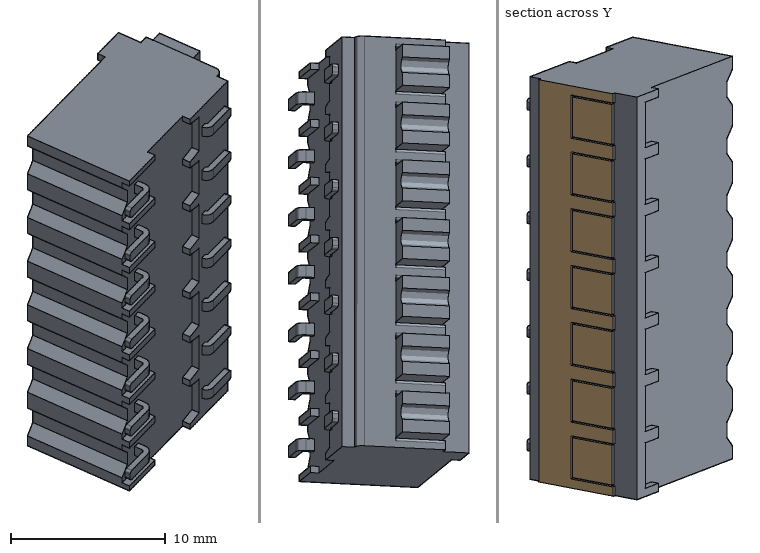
import cadquery as cq
import math


POLES = 7
PITCH = 3.82
HEIGHT = 27.05
POLE_Z = [(i - (POLES - 1) / 2) * PITCH for i in range(POLES)]

BODY_WIDTH = 7.33
BODY_DEPTH = 11.55

GROOVE_DEPTH = 0.62
GROOVE_FLOOR = 1.03
GROOVE_MOUTH = 2.44

FLANGE_THICKNESS = 0.57
SPINE_DEPTH = 0.97
TOOTH_END_Y = 9.12
TOOTH_GAP = 3.05

RIB_THICKNESS = 0.57
LOWER_RIB_DEPTH = 3.0
UPPER_RIB_START_Y = 7.12
WINDOW_MOUTH = 3.3
POCKET_FLOOR = 2.92
POCKET_DEPTH = 1.08

STEP_LEFT_X = 1.16
STEP_RIGHT_X = 7.05
STEP_HEIGHT = 0.62
STEP_CORNER_RADIUS = 0.5

BLOCK_LEFT_X = 1.25
BLOCK_WIDTH = 3.15
BLOCK_HEIGHT = 2.7
BLOCK_REACH = 1.45
BLOCK_CLEARANCE = 0.08
BLOCK_NOTCH_WIDTH = 1.03
BLOCK_NOTCH_DEPTH = 0.43
POCKET_LIP_RADIUS = 0.22

PIN_THICKNESS = 0.4
PIN_WIDTH = 0.78
PIN_GAP = 0.14
PIN_LEG = 2.62
PIN_ROOT = 0.55
PIN_TIP_RADIUS = 0.22
LOWER_PIN_Y = 1.9
UPPER_PIN_Y = 8.5

DIAGONAL = math.sqrt(0.5)

STEP_TOP_Y = BODY_DEPTH + STEP_HEIGHT
RIB_FACE_X = BODY_WIDTH + RIB_THICKNESS


def box(x_start, x_end, y_start, y_end, z_mid, z_size):
    """Box between two X and two Y positions, centred in Z on z_mid."""
    return (
        cq.Workplane("XY", origin=(0, 0, z_mid - z_size / 2))
        .moveTo(x_start, y_start)
        .lineTo(x_end, y_start)
        .lineTo(x_end, y_end)
        .lineTo(x_start, y_end)
        .close()
        .extrude(z_size)
    )


def make_body():
    """Main block with one groove per pole across its -Y face."""
    body = box(0, BODY_WIDTH, 0, BODY_DEPTH, 0, HEIGHT)
    for z in POLE_Z:
        groove = (
            cq.Workplane("YZ")
            .moveTo(0, z - GROOVE_MOUTH / 2)
            .lineTo(GROOVE_DEPTH, z - GROOVE_FLOOR / 2)
            .lineTo(GROOVE_DEPTH, z + GROOVE_FLOOR / 2)
            .lineTo(0, z + GROOVE_MOUTH / 2)
            .close()
            .extrude(BODY_WIDTH)
        )
        body = body.cut(groove)
    return body


def make_flange():
    """Comb on the -X face: a full-height spine with teeth between the poles."""
    flange = box(-FLANGE_THICKNESS, 0, TOOTH_END_Y, BODY_DEPTH, 0, HEIGHT)
    for z in POLE_Z:
        gap = box(-FLANGE_THICKNESS, 0, TOOTH_END_Y, BODY_DEPTH - SPINE_DEPTH, z, TOOTH_GAP)
        flange = flange.cut(gap)
    return flange


def make_ribs():
    """Two ribs on the +X face: windows cross the lower one, tapered pockets enter the upper one."""
    ribs = box(BODY_WIDTH, RIB_FACE_X, 0, LOWER_RIB_DEPTH, 0, HEIGHT)
    ribs = ribs.union(box(BODY_WIDTH, RIB_FACE_X, UPPER_RIB_START_Y, BODY_DEPTH, 0, HEIGHT))
    floor_y = UPPER_RIB_START_Y + POCKET_DEPTH
    for z in POLE_Z:
        window = box(BODY_WIDTH, RIB_FACE_X, 0, LOWER_RIB_DEPTH, z, WINDOW_MOUTH)
        pocket = (
            cq.Workplane("YZ", origin=(BODY_WIDTH, 0, 0))
            .moveTo(UPPER_RIB_START_Y, z - WINDOW_MOUTH / 2)
            .lineTo(floor_y, z - POCKET_FLOOR / 2)
            .lineTo(floor_y, z + POCKET_FLOOR / 2)
            .lineTo(UPPER_RIB_START_Y, z + WINDOW_MOUTH / 2)
            .close()
            .extrude(RIB_THICKNESS)
        )
        ribs = ribs.cut(window).cut(pocket)
    return ribs


def make_step():
    """Raised step on the +Y face with a rounded corner and one round-lipped pocket per pole."""
    step = box(STEP_LEFT_X, STEP_RIGHT_X, BODY_DEPTH, STEP_TOP_Y, 0, HEIGHT)
    step = step.edges("|Z and >X and >Y").fillet(STEP_CORNER_RADIUS)
    half = BLOCK_HEIGHT / 2 + BLOCK_CLEARANCE
    lip_half = half + POCKET_LIP_RADIUS
    lip_y = STEP_TOP_Y - POCKET_LIP_RADIUS
    lip_mid_y = lip_y + POCKET_LIP_RADIUS * DIAGONAL
    lip_mid_half = lip_half - POCKET_LIP_RADIUS * DIAGONAL
    pocket_end_x = BLOCK_LEFT_X + BLOCK_WIDTH + BLOCK_CLEARANCE
    for z in POLE_Z:
        pocket = (
            cq.Workplane("YZ", origin=(STEP_LEFT_X, 0, 0))
            .moveTo(BODY_DEPTH, z - half)
            .lineTo(lip_y, z - half)
            .threePointArc((lip_mid_y, z - lip_mid_half), (STEP_TOP_Y, z - lip_half))
            .lineTo(STEP_TOP_Y, z + lip_half)
            .threePointArc((lip_mid_y, z + lip_mid_half), (lip_y, z + half))
            .lineTo(BODY_DEPTH, z + half)
            .close()
            .extrude(pocket_end_x - STEP_LEFT_X)
        )
        step = step.cut(pocket)
    return step


def make_block(z):
    """Plug block of one pole with a rounded notch across its +Y face."""
    top_y = STEP_TOP_Y + BLOCK_REACH
    block = box(BLOCK_LEFT_X, BLOCK_LEFT_X + BLOCK_WIDTH, BODY_DEPTH, top_y, z, BLOCK_HEIGHT)
    notch = (
        cq.Workplane("YZ", origin=(BLOCK_LEFT_X, 0, 0))
        .moveTo(top_y, z - BLOCK_NOTCH_WIDTH / 2)
        .threePointArc((top_y - BLOCK_NOTCH_DEPTH, z), (top_y, z + BLOCK_NOTCH_WIDTH / 2))
        .close()
        .extrude(BLOCK_WIDTH)
    )
    return block.cut(notch)


def make_pin(z, heel_y, direction):
    """Pin that leaves the body along +X and bends into a leg along Y (direction +1 or -1)."""
    inner_x = RIB_FACE_X + PIN_GAP
    outer_x = inner_x + PIN_THICKNESS
    root_x = BODY_WIDTH - PIN_ROOT
    bend_radius = PIN_GAP + PIN_THICKNESS
    bend_x = outer_x - bend_radius
    bend_y = heel_y + direction * bend_radius
    tip_y = heel_y + direction * PIN_LEG

    def on_bend(radius):
        return (bend_x + radius * DIAGONAL, bend_y - direction * radius * DIAGONAL)

    pin = (
        cq.Workplane("XY", origin=(0, 0, z - PIN_WIDTH / 2))
        .moveTo(root_x, heel_y)
        .lineTo(bend_x, heel_y)
        .threePointArc(on_bend(bend_radius), (outer_x, bend_y))
        .lineTo(outer_x, tip_y)
        .lineTo(inner_x, tip_y)
        .lineTo(inner_x, bend_y)
        .threePointArc(on_bend(PIN_GAP), (bend_x, heel_y + direction * PIN_THICKNESS))
        .lineTo(root_x, heel_y + direction * PIN_THICKNESS)
        .close()
        .extrude(PIN_WIDTH)
    )
    tip = ">Y" if direction > 0 else "<Y"
    return pin.faces(tip).edges("|X").fillet(PIN_TIP_RADIUS)


result = make_body().union(make_flange()).union(make_ribs()).union(make_step())
for pole_z in POLE_Z:
    result = result.union(make_block(pole_z))
    result = result.union(make_pin(pole_z, LOWER_PIN_Y, -1))
    result = result.union(make_pin(pole_z, UPPER_PIN_Y, 1))